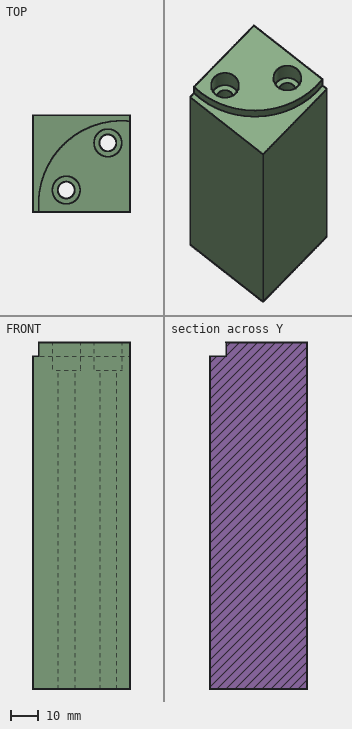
import cadquery as cq

block_side = 35.0
total_height = 125.0
half_side = block_side / 2

pad_height = 5.0
pad_radius = 30.0
pad_inset = 2.0
body_height = total_height - pad_height

bore_diameter = 6.0
counterbore_diameter = 10.0
counterbore_depth = 10.0
hole_edge_distance = 8.0
back_hole_y_distance = 10.0
front_hole_x_distance = 12.0


def make_block():
    return cq.Workplane("XY").rect(block_side, block_side).extrude(total_height)


def make_pad_disc():
    """Disc at the top of the block, reaching past its +X and -Y faces."""
    center_offset = half_side - pad_inset - pad_radius
    return (
        cq.Workplane("XY", origin=(-center_offset, center_offset, body_height))
        .circle(pad_radius)
        .extrude(pad_height)
    )


def cut_around_pad(block):
    """Lower the block top everywhere outside the pad."""
    top_layer = (
        cq.Workplane("XY", origin=(0, 0, body_height))
        .rect(block_side, block_side)
        .extrude(pad_height)
    )
    return block.cut(top_layer.cut(make_pad_disc()))


def drill_holes(body):
    back_hole = (half_side - hole_edge_distance, half_side - back_hole_y_distance)
    front_hole = (front_hole_x_distance - half_side, hole_edge_distance - half_side)
    return (
        body.copyWorkplane(cq.Workplane("XY", origin=(0, 0, total_height)))
        .pushPoints([back_hole, front_hole])
        .cboreHole(bore_diameter, counterbore_diameter, counterbore_depth)
    )


result = drill_holes(cut_around_pad(make_block()))